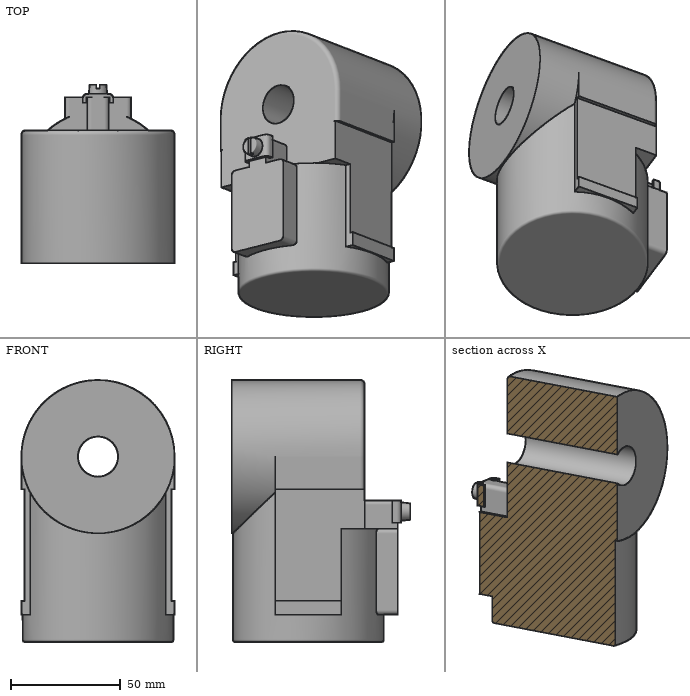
import cadquery as cq

total_height = 119.8
barrel_diameter = 69.0
barrel_bottom_round = 1.2

head_diameter = 70.0
head_front = -head_diameter / 2
head_length = 60.7
head_back = head_front + head_length
head_bore = 18.2
head_back_round = 2.0
head_axis_z = total_height - head_diameter / 2

side_width = head_diameter
recess_width = 67.2
pad_half_length = 15.1
pad_bottom = 12.6
lip_top = 18.8
cheek_bottom = 69.8
shoulder_z = 51.7

rear_face = 40.8
block_width = 30.3
post_width = 9.8
post_top = 64.8
corner_round = 2.0

strap_width = 13.9
strap_inner_width = 10.5
strap_height = 10.3
strap_thickness = 1.5
strap_reach = 2.5
strap_back = rear_face + strap_thickness
strap_round = 2.0
screw_base_diameter = 8.5
screw_top_diameter = 7.8
screw_back = head_front + 81.5
screw_round = 0.2
slot_width = 1.5
slot_depth = 1.7


def span_box(width, y_start, y_end, z_start, z_end):
    """Box centred on X between the given Y and Z limits."""
    return cq.Workplane("XY").box(
        width, y_end - y_start, z_end - z_start, centered=(True, False, False)
    ).translate((0, y_start, z_start))


def y_cylinder(diameter, y_start, y_end, z):
    """Cylinder parallel to Y, centred on X = 0."""
    return (
        cq.Workplane("XZ", origin=(0, y_start, z))
        .circle(diameter / 2)
        .extrude(y_start - y_end)
    )


def make_barrel():
    barrel = cq.Workplane("XY").circle(barrel_diameter / 2).extrude(head_axis_z)
    barrel = barrel.faces("<Z").edges().fillet(barrel_bottom_round)
    above_shoulder = span_box(
        head_diameter, head_back, barrel_diameter, shoulder_z, total_height
    )
    recess = span_box(
        side_width, -pad_half_length, pad_half_length, lip_top, cheek_bottom
    ).cut(span_box(recess_width, -pad_half_length, pad_half_length, lip_top, cheek_bottom))
    return barrel.cut(above_shoulder).cut(recess)


def make_head():
    head = y_cylinder(head_diameter, head_front, head_back, head_axis_z)
    return head.faces(">Y").edges().fillet(head_back_round)


def make_side_pads():
    cheek = span_box(side_width, -pad_half_length, head_back, cheek_bottom, head_axis_z)
    cheek = cheek.edges("|Z and >Y").fillet(head_back_round)
    shoulder = span_box(recess_width, -pad_half_length, head_back, shoulder_z, cheek_bottom)
    pad = span_box(recess_width, -pad_half_length, pad_half_length, pad_bottom, shoulder_z)
    lip = span_box(side_width, -pad_half_length, pad_half_length, pad_bottom, lip_top)
    return cheek.union(shoulder).union(pad).union(lip)


def make_rear_block():
    block = span_box(block_width, 0, rear_face, pad_bottom, shoulder_z)
    block = block.edges("|Y").fillet(corner_round)
    post = span_box(post_width, 0, rear_face, pad_bottom, post_top)
    post = post.edges("|Y and >Z").fillet(corner_round)
    return block.union(post)


def make_clamp():
    strap_bottom = post_top - strap_height
    strap = span_box(
        strap_width, rear_face - strap_reach, strap_back, strap_bottom, post_top
    )
    strap = strap.edges("|Z and >Y").fillet(strap_round)
    strap = strap.cut(
        span_box(strap_inner_width, rear_face - strap_reach, rear_face, strap_bottom, post_top)
    )
    screw_z = post_top - strap_height / 2
    screw = (
        cq.Workplane("XZ", origin=(0, strap_back, screw_z))
        .circle(screw_base_diameter / 2)
        .workplane(offset=strap_back - screw_back)
        .circle(screw_top_diameter / 2)
        .loft()
    )
    screw = screw.faces(">Y").edges().fillet(screw_round)
    slot = span_box(slot_width, screw_back - slot_depth, screw_back, strap_bottom, post_top)
    return strap.union(screw.cut(slot))


bore = y_cylinder(head_bore, head_front, head_back, head_axis_z)
result = (
    make_barrel()
    .union(make_head())
    .union(make_side_pads())
    .union(make_rear_block())
    .union(make_clamp())
    .cut(bore)
)